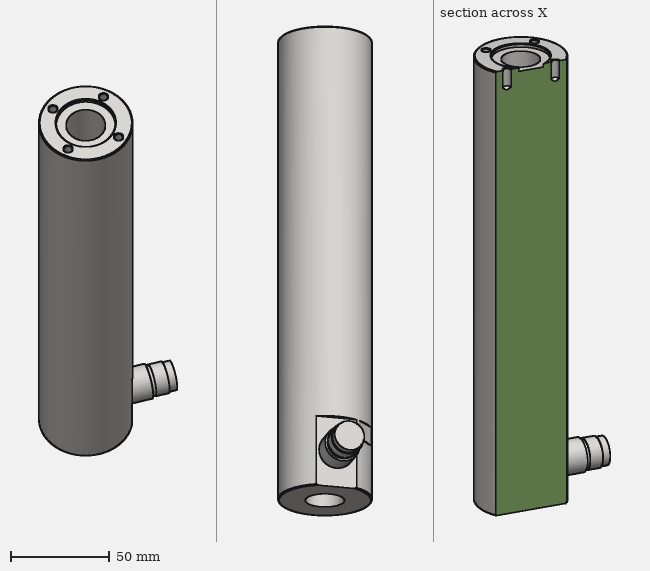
import cadquery as cq
import math

body_diameter = 48.0
body_length = 248.0
bore_diameter = 20.0
edge_chamfer = 0.6

recess_diameter = 30.0
recess_depth = 2.0
recess_chamfer = 0.5
recess_chamfer_angle = 45.0

hole_count = 4
hole_circle_diameter = 38.0
first_hole_angle = 45.0
hole_diameter = 4.2
hole_depth = 10.0
hole_mouth_diameter = 5.0
drill_point_angle = 118.0

flat_offset = 21.5
flat_angle = 90.0
flat_height = 37.3

side_flat_offset = 23.4
side_flat_angle = 135.0
side_flat_bottom = 27.4

connector_height = 19.3
connector_start = 18.0
connector_steps = [
    (18.4, 33.2),
    (16.0, 35.1),
    (16.8, 42.2),
    (15.6, 46.4),
]


def make_tube():
    cylinder = cq.Workplane("XY").circle(body_diameter / 2).extrude(body_length)
    return cylinder.faces("<Z or >Z").edges().chamfer(edge_chamfer)


def cut_flat(part, offset, angle, bottom, top):
    """Trim the tube at a plane facing the given angle, between two heights."""
    radius = body_diameter / 2
    cutter = (
        cq.Workplane("XY")
        .box(radius, body_diameter, top - bottom, centered=(False, True, False))
        .translate((offset, 0, bottom))
        .rotate((0, 0, 0), (0, 0, 1), angle)
    )
    return part.cut(cutter)


def make_connector():
    connector = None
    start = connector_start
    for diameter, end in connector_steps:
        step = (
            cq.Workplane("XZ", origin=(0, start, connector_height))
            .circle(diameter / 2)
            .extrude(start - end)
        )
        connector = step if connector is None else connector.union(step)
        start = end
    return connector


def make_screw_hole():
    """Countersunk blind hole with a drill point, opening upward at Z = 0."""
    radius = hole_diameter / 2
    mouth_radius = hole_mouth_diameter / 2
    point_depth = radius / math.tan(math.radians(drill_point_angle / 2))
    return (
        cq.Workplane("XZ")
        .moveTo(0, 0)
        .lineTo(mouth_radius, 0)
        .lineTo(radius, radius - mouth_radius)
        .lineTo(radius, -hole_depth)
        .lineTo(0, -hole_depth - point_depth)
        .close()
        .revolve(360, (0, 0, 0), (0, 1, 0))
    )


def cut_top_face(part):
    recess = (
        cq.Workplane("XY", origin=(0, 0, body_length - recess_depth))
        .circle(recess_diameter / 2)
        .extrude(recess_depth)
    )
    mouth = (
        cq.Workplane("XY", origin=(0, 0, body_length))
        .circle(recess_diameter / 2 + recess_chamfer)
        .extrude(-recess_chamfer, taper=recess_chamfer_angle)
    )
    part = part.cut(recess).cut(mouth)
    hole = make_screw_hole().translate((hole_circle_diameter / 2, 0, body_length))
    for index in range(hole_count):
        angle = first_hole_angle + index * 360 / hole_count
        part = part.cut(hole.rotate((0, 0, 0), (0, 0, 1), angle))
    return part


tube = make_tube()
tube = cut_flat(tube, flat_offset, flat_angle, 0, flat_height)
tube = cut_flat(tube, side_flat_offset, side_flat_angle, side_flat_bottom, flat_height)
tube = cut_top_face(tube)
bore = cq.Workplane("XY").circle(bore_diameter / 2).extrude(body_length)
result = tube.union(make_connector()).cut(bore)